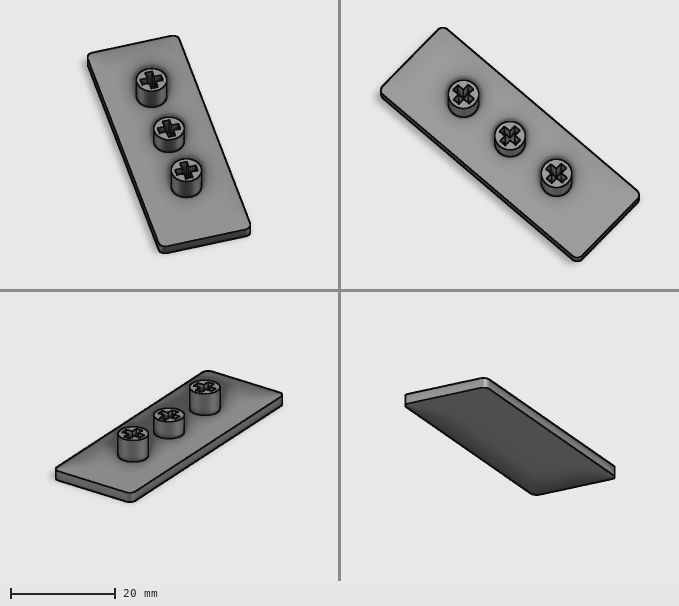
import cadquery as cq

plate_length = 51.55
plate_width = 18.2
plate_thickness = 2.0
corner_radius = 1.3

total_height = 6.6
outer_stem_height = total_height - plate_thickness
center_stem_drop = 1.0
center_stem_height = outer_stem_height - center_stem_drop
stem_diameter = 5.8
stem_spacing = 12.0

cross_length = 4.1
cross_slot_width = 1.35


def make_plate():
    """Flat plate with rounded vertical corners, resting on Z = 0."""
    return (
        cq.Workplane("XY")
        .box(plate_length, plate_width, plate_thickness, centered=(True, True, False))
        .edges("|Z")
        .fillet(corner_radius)
    )


def make_stem(x, height):
    """Round stem at the given X, with a cross socket through its full height."""
    base = cq.Workplane("XY", origin=(x, 0, plate_thickness))
    stem = base.circle(stem_diameter / 2).extrude(height)
    slot_along_x = base.rect(cross_length, cross_slot_width).extrude(height)
    slot_along_y = base.rect(cross_slot_width, cross_length).extrude(height)
    return stem.cut(slot_along_x).cut(slot_along_y)


result = make_plate()
for x, height in (
    (-stem_spacing, outer_stem_height),
    (0, center_stem_height),
    (stem_spacing, outer_stem_height),
):
    result = result.union(make_stem(x, height))